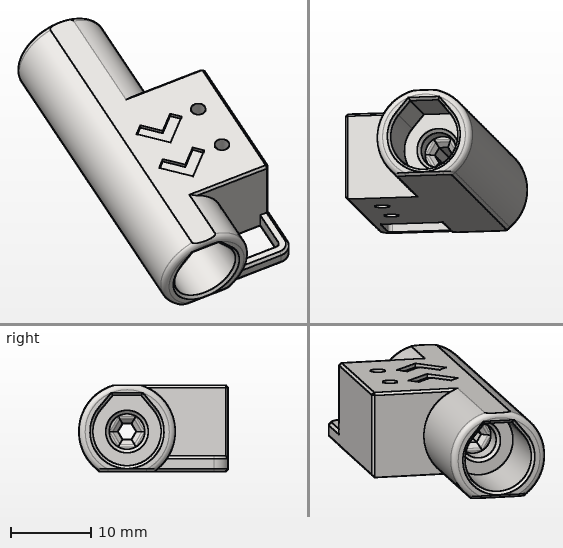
import cadquery as cq
import math


tube_length = 40.4
tube_diameter = 12.0
overall_width = 18.6
end_round = 0.75
top_level = 5.78
bottom_level = -5.0
edge_chamfer = 0.35
foot_level = bottom_level + edge_chamfer

block_min_x = -5.35
block_max_x = 12.7
block_max_y = overall_width - tube_diameter / 2
block_chamfer = 0.32
block_center_x = (block_min_x + block_max_x) / 2
screw_diameter = 1.8
screw_spacing = 6.5
screw_y = 8.95

loop_max_x = tube_length / 2 - end_round
loop_bar = 1.25
loop_height = 2.02
loop_outer_radius = 1.78

arrow_tip_x = 3.7
arrow_tip_y = 3.4
arrow_reach = 3.15
arrow_length = 2.15
arrow_spacing = 6.2
arrow_depth = 0.5

bore_radius = 4.25
bore_depth = 10.1
roof_level = 4.5
roof_angle = math.radians(40)

socket_diameter = 4.4
socket_depth = 3.25
socket_chamfer = 0.45
funnel_mouth_flats = 3.4
funnel_mouth_round = 0.45
passage_flats = 1.95
funnel_depth = (funnel_mouth_flats - passage_flats) / 2


def cross_section(x):
    return cq.Workplane("YZ", origin=(x, 0, 0))


def hex_corner_diameter(flats):
    return flats / math.cos(math.pi / 6)


def make_tube():
    tube = cq.Workplane("YZ").circle(tube_diameter / 2).extrude(tube_length / 2, both=True)
    tube = tube.edges().fillet(end_round)
    between_flats = (
        cq.Workplane("XY", origin=(0, 0, foot_level))
        .rect(tube_length, tube_diameter)
        .extrude(top_level - foot_level)
    )
    tube = tube.intersect(between_flats)
    foot = tube.faces("<Z").wires().toPending().workplane().extrude(edge_chamfer, taper=45, combine=False)
    return tube.union(foot)


def make_block():
    block = (
        cq.Workplane("XY", origin=(0, 0, bottom_level))
        .moveTo(block_center_x, block_max_y / 2)
        .rect(block_max_x - block_min_x, block_max_y)
        .extrude(top_level - bottom_level)
    )
    return block.edges("(>Z and (not <Y)) or (>Y and |Z) or (>Y and <Z)").chamfer(block_chamfer)


def rounded_plate(max_x, max_y, corner_radius):
    """Plate from the block's middle and the tube axis out to one rounded corner."""
    min_x = block_center_x
    return (
        cq.Workplane("XY", origin=(0, 0, bottom_level))
        .moveTo((min_x + max_x) / 2, max_y / 2)
        .rect(max_x - min_x, max_y)
        .extrude(loop_height)
        .edges("|Z and >X and >Y")
        .fillet(corner_radius)
    )


def make_loop():
    outer = rounded_plate(loop_max_x, block_max_y, loop_outer_radius)
    outer = outer.faces(">Z or <Z").edges("not (<X or <Y)").chamfer(edge_chamfer)
    opening = rounded_plate(loop_max_x - loop_bar, block_max_y - loop_bar, loop_outer_radius - loop_bar)
    return outer.cut(opening)


def bore_outline(workplane, offset):
    """Circle with two tangent roof slopes and a flat top, grown by the offset."""
    radius = bore_radius + offset
    flat = roof_level + offset
    tangent_y = radius * math.cos(roof_angle)
    tangent_z = radius * math.sin(roof_angle)
    flat_y = (radius - flat * math.sin(roof_angle)) / math.cos(roof_angle)
    return (
        workplane.moveTo(tangent_y, tangent_z)
        .lineTo(flat_y, flat)
        .lineTo(-flat_y, flat)
        .lineTo(-tangent_y, tangent_z)
        .threePointArc((0, -radius), (tangent_y, tangent_z))
        .close()
    )


def make_end_bore():
    """Everything cut from the -X end up to the middle of the tube."""
    end_x = -tube_length / 2
    bore = bore_outline(cross_section(end_x), 0).extrude(bore_depth)
    lead_in = bore_outline(cross_section(end_x), edge_chamfer)
    lead_in = bore_outline(lead_in.workplane(offset=edge_chamfer), 0).loft(ruled=True)

    floor_x = end_x + bore_depth
    socket = cross_section(floor_x).circle(socket_diameter / 2).extrude(socket_depth)
    rim = cross_section(floor_x).circle(socket_diameter / 2 + socket_chamfer)
    rim = rim.workplane(offset=socket_chamfer).circle(socket_diameter / 2).loft()

    funnel_x = floor_x + socket_depth
    mouth_diameter = hex_corner_diameter(funnel_mouth_flats)
    passage_diameter = hex_corner_diameter(passage_flats)
    funnel = cross_section(funnel_x).polygon(6, mouth_diameter)
    funnel = funnel.workplane(offset=funnel_depth).polygon(6, passage_diameter).loft(ruled=True)
    passage = cross_section(funnel_x).polygon(6, passage_diameter).extrude(-funnel_x)
    cutter = bore.union(lead_in).union(socket).union(rim).union(funnel).union(passage)
    reach = socket_diameter / 2
    mouth_edges = cq.selectors.BoxSelector(
        (funnel_x - edge_chamfer, -reach, -reach), (funnel_x + edge_chamfer, reach, reach)
    )
    return cutter.edges(mouth_edges).edges("#X and %LINE").fillet(funnel_mouth_round)


def make_arrow(tip_x):
    tail_x = tip_x - arrow_reach
    end_shift = arrow_length / 2
    return (
        cq.Workplane("XY", origin=(0, 0, top_level - arrow_depth))
        .polyline(
            [
                (tip_x, arrow_tip_y),
                (tail_x, arrow_tip_y + arrow_reach),
                (tail_x - end_shift, arrow_tip_y + arrow_reach - end_shift),
                (tip_x - arrow_length, arrow_tip_y),
                (tail_x - end_shift, arrow_tip_y - arrow_reach + end_shift),
                (tail_x, arrow_tip_y - arrow_reach),
            ]
        )
        .close()
        .extrude(arrow_depth)
    )


def make_screw_hole(x):
    return (
        cq.Workplane("XY", origin=(x, screw_y, bottom_level))
        .circle(screw_diameter / 2)
        .extrude(top_level - bottom_level)
    )


result = make_tube().union(make_block()).union(make_loop())

end_bore = make_end_bore()
result = result.cut(end_bore).cut(end_bore.mirror("YZ"))

for side in (-1, 1):
    result = result.cut(make_screw_hole(block_center_x + side * screw_spacing / 2))

for tip_x in (arrow_tip_x, arrow_tip_x + arrow_spacing):
    result = result.cut(make_arrow(tip_x))